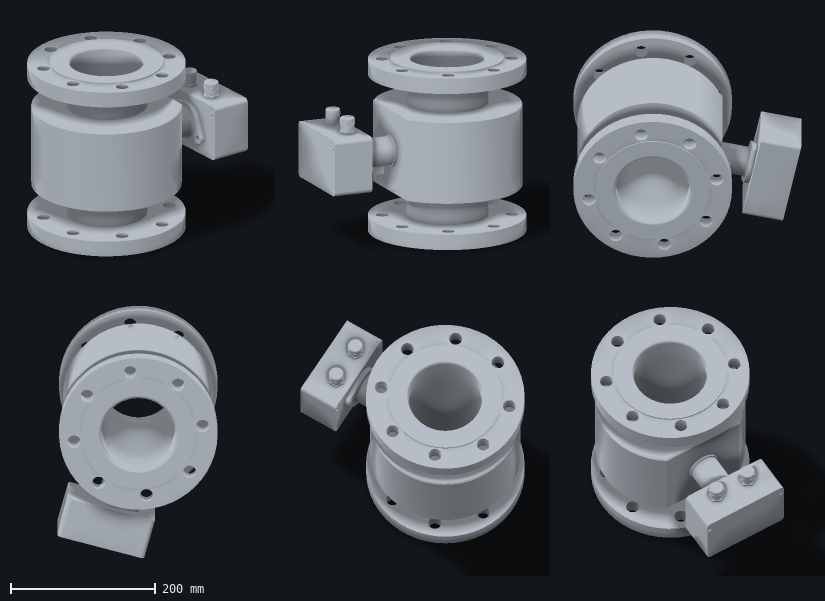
import cadquery as cq
import math

LENGTH = 250.0
BORE_DIAMETER = 102.5
BORE_LIP_RADIUS = 5.0
PIPE_DIAMETER = 114.5

FLANGE_DIAMETER = 220.0
FLANGE_THICKNESS = 22.0
RAISED_FACE_DIAMETER = 158.0
RAISED_FACE_HEIGHT = 2.0
BOLT_COUNT = 8
BOLT_CIRCLE_DIAMETER = 180.0
BOLT_HOLE_DIAMETER = 18.0

HOUSING_DIAMETER = 209.0
HOUSING_HEIGHT = 120.0
HOUSING_CHAMFER = 2.0
HOUSING_FLAT_Y = 86.0

BOX_WIDTH = 125.0
BOX_DEPTH = 56.8
BOX_HEIGHT = 80.0
BOX_OUTER_Y = 197.6
BOX_INNER_Y = BOX_OUTER_Y - BOX_DEPTH
BOX_EDGE_RADIUS = 6.0
LID_SCREW_HOLE_DIAMETER = 3.24
LID_SCREW_INSET = 4.7
LID_SCREW_HOLE_DEPTH = 10.0
MOUNT_HOLE_DIAMETER = 5.0
MOUNT_HOLE_INNER_DEPTH = 10.6
MOUNT_HOLE_OUTER_DEPTH = 14.2
MOUNT_HOLE_X = 58.2
MOUNT_HOLE_Z = 26.0

GASKET_THICKNESS = 0.5
PLATE_THICKNESS = 6.1
PLATE_RADIUS = 29.5
EAR_RADIUS = 7.6
EAR_DISTANCE = 34.3
EAR_ANGLE = 154.0
EAR_HOLE_DIAMETER = 8.5
PLATE_OUTER_Y = BOX_INNER_Y - GASKET_THICKNESS
PLATE_INNER_Y = PLATE_OUTER_Y - PLATE_THICKNESS

NECK_DIAMETER = 41.0
NECK_FILLET = 4.2
COLLAR_DIAMETER = 45.0
COLLAR_HEIGHT = 3.0

LUG_WIDTH_X = 14.0
LUG_WIDTH_Y = 12.3
LUG_CORNER_CHAMFER = 0.8
LUG_Y = 104.3
LUG_BOTTOM_Z = -30.3

GLAND_SPACING = 50.5
GLAND_Y = 162.1
GLAND_HEX_FLATS = 19.8
GLAND_HEX_CORNERS = GLAND_HEX_FLATS / math.cos(math.pi / 6)
GLAND_STEM_DIAMETER = 18.0
GLAND_SLEEVE_DIAMETER = 19.8
GLAND_CAP_DIAMETER = 20.4
GLAND_CAP_RADIUS = 2.8
GLAND_BASE_TOP = 4.2
GLAND_STEM_TOP = 8.7
GLAND_SLEEVE_TOP = 12.5
GLAND_NUT_TOP = 16.4
GLAND_TOP = 23.0
GLAND_HEX_CHAMFER = 1.2


def cylinder_z(diameter, bottom, top):
    return cq.Workplane("XY", origin=(0, 0, bottom)).circle(diameter / 2).extrude(top - bottom)


def cylinder_y(diameter, start, end, points):
    """Cylinders from Y = start to Y = end, at the given (X, Z) points."""
    plane = cq.Plane(origin=(0, start, 0), xDir=(1, 0, 0), normal=(0, -1, 0))
    return cq.Workplane(plane).pushPoints(points).circle(diameter / 2).extrude(start - end)


def flange():
    """Flange at the +Z end, with its raised face and bolt holes."""
    face = LENGTH / 2 - RAISED_FACE_HEIGHT
    back = face - FLANGE_THICKNESS
    disc = cylinder_z(FLANGE_DIAMETER, back, face)
    disc = disc.union(cylinder_z(RAISED_FACE_DIAMETER, back, LENGTH / 2))
    holes = (
        cq.Workplane("XY", origin=(0, 0, back))
        .polarArray(BOLT_CIRCLE_DIAMETER / 2, 180 / BOLT_COUNT, 360, BOLT_COUNT)
        .circle(BOLT_HOLE_DIAMETER / 2)
        .extrude(FLANGE_THICKNESS + RAISED_FACE_HEIGHT)
    )
    return disc.cut(holes)


def flared_bore():
    """The space inside the pipe, widening at both ends round a convex lip."""
    end = LENGTH / 2
    radius = BORE_DIAMETER / 2
    mouth_radius = radius + BORE_LIP_RADIUS
    lip_start = end - BORE_LIP_RADIUS
    bend = BORE_LIP_RADIUS * (1 - math.sqrt(0.5))
    return (
        cq.Workplane("XZ")
        .moveTo(0, -end)
        .lineTo(mouth_radius, -end)
        .threePointArc((radius + bend, -end + bend), (radius, -lip_start))
        .lineTo(radius, lip_start)
        .threePointArc((radius + bend, end - bend), (mouth_radius, end))
        .lineTo(0, end)
        .close()
        .revolve(360, (0, 0, 0), (0, 1, 0))
    )


def coil_housing():
    """Cylinder cut flat on the +Y side, chamfered all round both ends."""
    drum = cylinder_z(HOUSING_DIAMETER, -HOUSING_HEIGHT / 2, HOUSING_HEIGHT / 2)
    beyond_flat = cq.Workplane("XY", origin=(0, HOUSING_FLAT_Y + HOUSING_DIAMETER / 2, 0))
    beyond_flat = beyond_flat.box(HOUSING_DIAMETER, HOUSING_DIAMETER, HOUSING_HEIGHT)
    return drum.cut(beyond_flat).faces("|Z").edges().chamfer(HOUSING_CHAMFER)


def eared_plate(start, thickness):
    """Disc with two opposite ears joined to it by tangent lines, from Y = start outwards."""
    axis = math.radians(EAR_ANGLE)
    spread = math.acos((PLATE_RADIUS - EAR_RADIUS) / EAR_DISTANCE)
    ear = (EAR_DISTANCE * math.cos(axis), EAR_DISTANCE * math.sin(axis))
    opposite_ear = (-ear[0], -ear[1])

    def on_circle(center, radius, angle):
        return (center[0] + radius * math.cos(angle), center[1] + radius * math.sin(angle))

    middle = (0, 0)
    back = axis + math.pi
    outline = (
        cq.Workplane("XZ", origin=(0, start, 0))
        .moveTo(*on_circle(middle, PLATE_RADIUS, axis - spread))
        .lineTo(*on_circle(ear, EAR_RADIUS, axis - spread))
        .threePointArc(on_circle(ear, EAR_RADIUS, axis), on_circle(ear, EAR_RADIUS, axis + spread))
        .lineTo(*on_circle(middle, PLATE_RADIUS, axis + spread))
        .threePointArc(
            on_circle(middle, PLATE_RADIUS, axis + math.pi / 2),
            on_circle(middle, PLATE_RADIUS, back - spread),
        )
        .lineTo(*on_circle(opposite_ear, EAR_RADIUS, back - spread))
        .threePointArc(
            on_circle(opposite_ear, EAR_RADIUS, back),
            on_circle(opposite_ear, EAR_RADIUS, back + spread),
        )
        .lineTo(*on_circle(middle, PLATE_RADIUS, back + spread))
        .threePointArc(
            on_circle(middle, PLATE_RADIUS, axis - math.pi / 2),
            on_circle(middle, PLATE_RADIUS, axis - spread),
        )
        .close()
    )
    holes = cylinder_y(EAR_HOLE_DIAMETER, start, start + thickness, (ear, opposite_ear))
    return outline.extrude(-thickness).cut(holes)


def neck():
    """Neck tube revolved about Y, with a collar at the housing and a fillet under the plate."""
    radius = NECK_DIAMETER / 2
    collar_top = HOUSING_FLAT_Y + COLLAR_HEIGHT
    bend = NECK_FILLET * (1 - math.sqrt(0.5))
    return (
        cq.Workplane("XY")
        .moveTo(0, HOUSING_FLAT_Y)
        .lineTo(COLLAR_DIAMETER / 2, HOUSING_FLAT_Y)
        .lineTo(COLLAR_DIAMETER / 2, collar_top)
        .lineTo(radius, collar_top)
        .lineTo(radius, PLATE_INNER_Y - NECK_FILLET)
        .threePointArc(
            (radius + bend, PLATE_INNER_Y - bend),
            (radius + NECK_FILLET, PLATE_INNER_Y),
        )
        .lineTo(0, PLATE_INNER_Y)
        .close()
        .revolve(360, (0, 0, 0), (0, 1, 0))
    )


def earthing_lug():
    """Block hanging from the neck, reaching up to the neck's axis inside it."""
    block = cq.Workplane("XY", origin=(0, LUG_Y, LUG_BOTTOM_Z)).rect(LUG_WIDTH_X, LUG_WIDTH_Y)
    return block.extrude(-LUG_BOTTOM_Z).edges("|Z").chamfer(LUG_CORNER_CHAMFER)


def make_sensor():
    """Flow tube with its neck, ending in the eared plate."""
    pipe = cylinder_z(PIPE_DIAMETER, -LENGTH / 2, LENGTH / 2)
    top_flange = flange()
    body = (
        pipe.union(top_flange)
        .union(top_flange.mirror("XY"))
        .union(coil_housing())
        .union(neck())
        .union(earthing_lug())
        .union(eared_plate(PLATE_INNER_Y, PLATE_THICKNESS))
    )
    return body.cut(flared_bore())


def make_gasket():
    """Thin sheet with the same outline and holes as the plate, against the box."""
    return eared_plate(PLATE_OUTER_Y, GASKET_THICKNESS)


def hexagon(bottom, top):
    """Hexagonal prism with two corners pointing along Y."""
    prism = cq.Workplane("XY", origin=(0, 0, bottom)).polygon(6, GLAND_HEX_CORNERS)
    return prism.extrude(top - bottom).rotate((0, 0, 0), (0, 0, 1), 30)


def cable_gland():
    """Gland standing on Z = 0: chamfered hexagon, stem, sleeve, nut and rounded cap."""
    base_limit = cylinder_z(GLAND_HEX_CORNERS, 0, GLAND_BASE_TOP)
    base_limit = base_limit.faces(">Z").chamfer(GLAND_HEX_CHAMFER)
    cap = cylinder_z(GLAND_CAP_DIAMETER, GLAND_NUT_TOP, GLAND_TOP)
    return (
        hexagon(0, GLAND_BASE_TOP)
        .intersect(base_limit)
        .union(cylinder_z(GLAND_STEM_DIAMETER, 0, GLAND_STEM_TOP))
        .union(cylinder_z(GLAND_SLEEVE_DIAMETER, GLAND_STEM_TOP, GLAND_SLEEVE_TOP))
        .union(hexagon(GLAND_SLEEVE_TOP, GLAND_NUT_TOP))
        .union(cap.faces(">Z").edges().fillet(GLAND_CAP_RADIUS))
    )


def make_junction_box():
    """Box with rounded edges along Y, its screw holes and its two cable glands."""
    box = (
        cq.Workplane("XY", origin=(0, BOX_INNER_Y + BOX_DEPTH / 2, 0))
        .box(BOX_WIDTH, BOX_DEPTH, BOX_HEIGHT)
        .edges("|Y")
        .fillet(BOX_EDGE_RADIUS)
    )

    corner_x = BOX_WIDTH / 2 - LID_SCREW_INSET
    corner_z = BOX_HEIGHT / 2 - LID_SCREW_INSET
    corners = [(i * corner_x, j * corner_z) for i in (-1, 1) for j in (-1, 1)]
    lid_hole_end = BOX_INNER_Y + LID_SCREW_HOLE_DEPTH
    box = box.cut(cylinder_y(LID_SCREW_HOLE_DIAMETER, BOX_INNER_Y, lid_hole_end, corners))

    mounts = [(-MOUNT_HOLE_X, MOUNT_HOLE_Z), (MOUNT_HOLE_X, MOUNT_HOLE_Z)]
    inner_end = BOX_INNER_Y + MOUNT_HOLE_INNER_DEPTH
    outer_end = BOX_OUTER_Y - MOUNT_HOLE_OUTER_DEPTH
    box = box.cut(cylinder_y(MOUNT_HOLE_DIAMETER, BOX_INNER_Y, inner_end, mounts))
    box = box.cut(cylinder_y(MOUNT_HOLE_DIAMETER, outer_end, BOX_OUTER_Y, mounts))

    for x in (-GLAND_SPACING / 2, GLAND_SPACING / 2):
        box = box.union(cable_gland().translate((x, GLAND_Y, BOX_HEIGHT / 2)))
    return box


sensor = make_sensor()
gasket = make_gasket()
junction_box = make_junction_box()
result = cq.Compound.makeCompound([sensor.val(), gasket.val(), junction_box.val()])